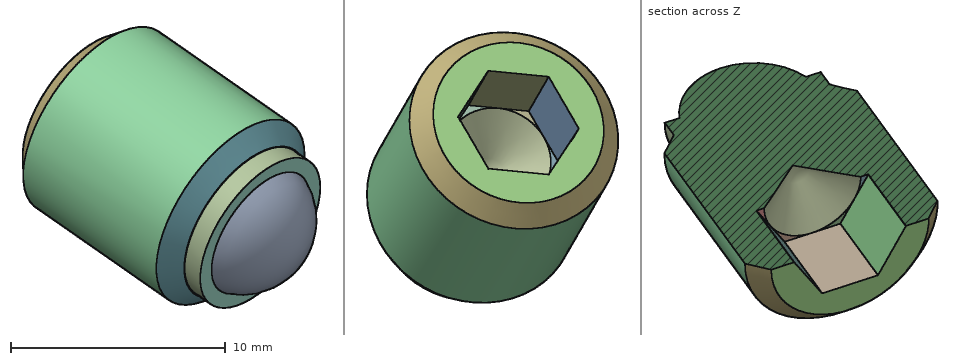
import cadquery as cq
import math

total_length = 13.7
body_length = 10.41
collar_length = 1.0

body_diameter = 10.0
collar_diameter = 8.1
ball_diameter = 7.0
chamfer = 0.92

socket_sides = 6
socket_across_flats = 5.0
socket_depth = 4.0
drill_point_angle = 100.0

ball_radius = ball_diameter / 2
ball_centre = total_length - ball_radius
collar_end = body_length + collar_length
socket_across_corners = socket_across_flats / math.cos(math.pi / socket_sides)
drill_radius = socket_across_flats / 2
drill_point_length = drill_radius / math.tan(math.radians(drill_point_angle / 2))


def make_body():
    """Cylinder along X, chamfered at both ends."""
    cylinder = cq.Workplane("YZ").circle(body_diameter / 2).extrude(body_length)
    return cylinder.faces("<X or >X").chamfer(chamfer)


def make_collar():
    """Short step between the body and the ball."""
    return cq.Workplane("YZ", origin=(body_length, 0, 0)).circle(collar_diameter / 2).extrude(collar_length)


def make_ball_tip():
    """Part of the ball that stands proud of the collar, a dome revolved about X."""
    rim_offset = collar_end - ball_centre
    rim_radius = math.sqrt(ball_radius**2 - rim_offset**2)
    half_angle = math.atan2(rim_radius, rim_offset) / 2
    arc_middle = (
        ball_centre + ball_radius * math.cos(half_angle),
        ball_radius * math.sin(half_angle),
    )
    return (
        cq.Workplane("XY")
        .moveTo(collar_end, 0)
        .lineTo(collar_end, rim_radius)
        .threePointArc(arc_middle, (total_length, 0))
        .close()
        .revolve(360, (0, 0, 0), (1, 0, 0))
    )


def make_socket():
    """Hexagonal prism with flats facing +Z and -Z, ending in a cone."""
    prism = cq.Workplane("YZ").polygon(socket_sides, socket_across_corners).extrude(socket_depth)
    cone = cq.Workplane(
        cq.Solid.makeCone(
            drill_radius,
            0,
            drill_point_length,
            pnt=cq.Vector(socket_depth, 0, 0),
            dir=cq.Vector(1, 0, 0),
        )
    )
    return prism.union(cone)


result = make_body().union(make_collar()).union(make_ball_tip()).cut(make_socket())